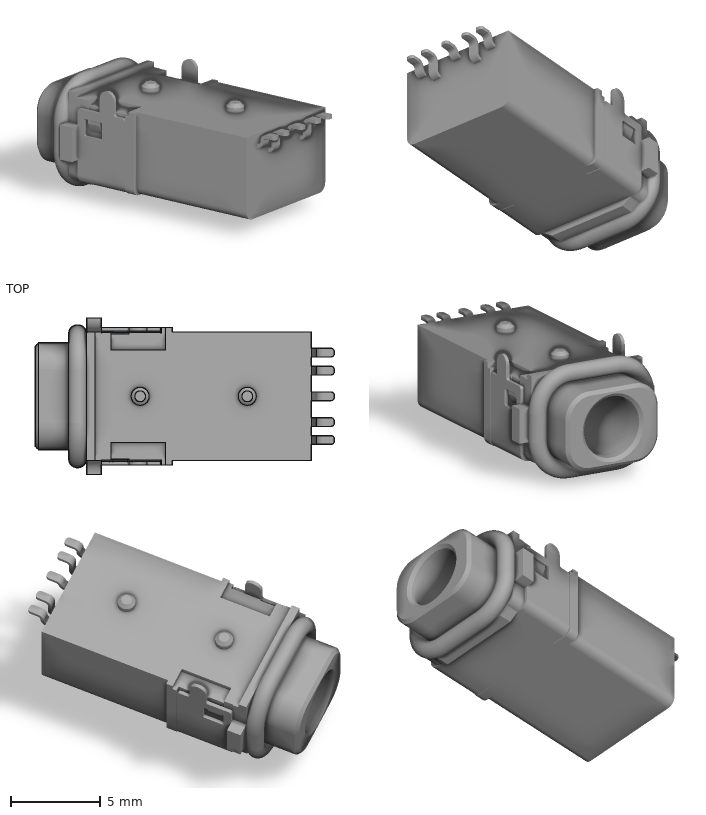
import cadquery as cq
import math


NOSE_WIDTH = 6.01
NOSE_HEIGHT = 4.64
NOSE_CORNER = 1.5
EDGE_CHAMFER = 0.2
BORE_DIAMETER = 3.6
BORE_DEPTH = 14.0

RING_SECTION = 1.0
RING_FRONT = 1.88
RING_CENTRE = RING_FRONT + RING_SECTION / 2

FLANGE_FRONT = RING_FRONT + RING_SECTION
FLANGE_STEP = 3.36
FLANGE_BACK = 3.71
FLANGE_HALF_HEIGHT = 2.82
FLANGE_FOOT_HALF_WIDTH = 2.52
EAR_SPAN = 8.8
EAR_HEIGHT = 2.03

BODY_BACK = 15.5
BODY_HALF_WIDTH = 3.61
BODY_TOP = 2.5
BODY_BOTTOM = -2.42
BODY_CORNER = 0.52
BAND_FRONT = 7.09
BAND_BACK = 7.71
BAND_CORNER = 0.42

CLIP_THICKNESS = 0.2
CLIP_HALF_SPAN = 3.86
CLIP_INNER = CLIP_HALF_SPAN - CLIP_THICKNESS
CLIP_FRONT = FLANGE_BACK
CLIP_BACK = 7.04
CLIP_SHOULDER = 2.02
CLIP_CORNER = 0.15
CLIP_INNER_BEND = BODY_CORNER - CLIP_THICKNESS
TAB_WIDTH = 1.0
TAB_CENTRE = 5.78
TAB_TIP = 3.4
TAB_ROOT_FILLET = 0.15
WINDOW_FRONT = 4.17
WINDOW_BACK = 5.45
WINDOW_BOTTOM = 0.47
WINDOW_TOP = 1.5
WINDOW_CORNER = 0.1

POCKET_FRONT = 4.27
POCKET_BACK = 7.32
POCKET_FLOOR = 2.2
POCKET_INNER = 2.6
CORE_HALF_WIDTH = 3.58
NOTCH_HALF_WIDTH = 3.51
NOTCH_BACK = 5.25
FOOT_SEAT = BODY_BOTTOM + CLIP_THICKNESS

LATCH_FRONT = 4.38
LATCH_BACK = 5.19
LATCH_TOP = 1.46
LATCH_LIP = 1.25
LATCH_BOTTOM = 0.72
LATCH_HALF_SPAN = 3.78

POST_DIAMETER = 1.0
POST_HEIGHT = 0.5
POST_POSITIONS = (5.9, 11.91)

TERMINAL_WIDTH = 0.5
TERMINAL_THICKNESS = 0.2
TERMINAL_TOP = 2.55
TERMINAL_TIP = 16.8
TERMINAL_BEND_START = 15.59
TERMINAL_BEND_RADIUS = 0.3
TERMINAL_TIP_CORNER = 0.2
TERMINAL_EMBED = 0.17
OUTER_TERMINAL_Y = 2.45
INNER_TERMINAL_Y = 1.45
OUTER_EXIT = 1.92
INNER_EXIT = 1.43
MIDDLE_EXIT = 2.13
TERMINALS = (
    (-OUTER_TERMINAL_Y, OUTER_EXIT),
    (-INNER_TERMINAL_Y, INNER_EXIT),
    (0, MIDDLE_EXIT),
    (INNER_TERMINAL_Y, INNER_EXIT),
    (OUTER_TERMINAL_Y, OUTER_EXIT),
)


def block(x_range, y_range, z_range):
    """Box between the given limits."""
    (x0, x1), (y0, y1), (z0, z1) = x_range, y_range, z_range
    return cq.Workplane("XY").box(x1 - x0, y1 - y0, z1 - z0, centered=False).translate((x0, y0, z0))


def both_sides(part):
    """The part together with its mirror image across the Y = 0 plane."""
    return part.union(part.mirror("XZ"))


def rounded_bar(front, back, half_width, bottom, corner):
    """Length of body with its two lower edges rounded."""
    bar = block((front, back), (-half_width, half_width), (bottom, BODY_TOP))
    return bar.edges("|X and <Z").fillet(corner)


def make_nose():
    """Rounded rectangular nose with a chamfered front edge."""
    nose = cq.Workplane("YZ").rect(NOSE_WIDTH, NOSE_HEIGHT).extrude(FLANGE_FRONT)
    nose = nose.edges("|X").fillet(NOSE_CORNER)
    return nose.faces("<X").edges().chamfer(EDGE_CHAMFER)


def make_bore():
    """Blind bore with a countersunk mouth."""
    radius = BORE_DIAMETER / 2
    profile = [
        (0, 0),
        (0, radius + EDGE_CHAMFER),
        (EDGE_CHAMFER, radius),
        (BORE_DEPTH, radius),
        (BORE_DEPTH, 0),
    ]
    return cq.Workplane("XY").polyline(profile).close().revolve(360, (0, 0, 0), (1, 0, 0))


def make_flange():
    """Stepped flange with a tapered foot below and an ear on each side."""
    corner_start = BODY_HALF_WIDTH - BODY_CORNER
    plate = rounded_bar(FLANGE_FRONT, FLANGE_BACK, BODY_HALF_WIDTH, BODY_BOTTOM, BODY_CORNER)
    raised_edge = block(
        (FLANGE_FRONT, FLANGE_STEP),
        (-BODY_HALF_WIDTH, BODY_HALF_WIDTH),
        (0, FLANGE_HALF_HEIGHT),
    )
    foot_profile = [
        (-corner_start, BODY_BOTTOM),
        (corner_start, BODY_BOTTOM),
        (FLANGE_FOOT_HALF_WIDTH, -FLANGE_HALF_HEIGHT),
        (-FLANGE_FOOT_HALF_WIDTH, -FLANGE_HALF_HEIGHT),
    ]
    foot = (
        cq.Workplane("YZ", origin=(FLANGE_FRONT, 0, 0))
        .polyline(foot_profile)
        .close()
        .extrude(FLANGE_BACK - FLANGE_FRONT)
    )
    ears = block(
        (FLANGE_FRONT, FLANGE_BACK),
        (-EAR_SPAN / 2, EAR_SPAN / 2),
        (-EAR_HEIGHT / 2, EAR_HEIGHT / 2),
    )
    return plate.union(raised_edge).union(foot).union(ears)


def make_body():
    """Rear body, wider band and the recessed length that carries the clips."""
    rear = rounded_bar(BAND_BACK, BODY_BACK, BODY_HALF_WIDTH, BODY_BOTTOM, BODY_CORNER)
    band = rounded_bar(BAND_FRONT, BAND_BACK, CLIP_HALF_SPAN, BODY_BOTTOM, BAND_CORNER)
    core = rounded_bar(FLANGE_BACK, BAND_FRONT, CORE_HALF_WIDTH, FOOT_SEAT, CLIP_INNER_BEND)
    keel = block((FLANGE_BACK, BAND_FRONT), (-POCKET_INNER, POCKET_INNER), (BODY_BOTTOM, 0))
    side_notch = block(
        (POCKET_FRONT, NOTCH_BACK), (NOTCH_HALF_WIDTH, CLIP_HALF_SPAN), (WINDOW_TOP, BODY_TOP)
    )
    top_pocket = block(
        (POCKET_FRONT, POCKET_BACK), (POCKET_INNER, CLIP_HALF_SPAN), (POCKET_FLOOR, BODY_TOP)
    )
    body = rear.union(band).union(core).union(keel)
    return body.cut(both_sides(side_notch)).cut(both_sides(top_pocket))


def make_latches():
    """Wedge-shaped latch on each side, tapering inwards towards the bottom."""
    profile = [
        (CORE_HALF_WIDTH, LATCH_BOTTOM),
        (LATCH_HALF_SPAN, LATCH_LIP),
        (LATCH_HALF_SPAN, LATCH_TOP),
        (POCKET_INNER, LATCH_TOP),
        (POCKET_INNER, LATCH_BOTTOM),
    ]
    latch = (
        cq.Workplane("YZ", origin=(LATCH_FRONT, 0, 0))
        .polyline(profile)
        .close()
        .extrude(LATCH_BACK - LATCH_FRONT)
    )
    return both_sides(latch)


def make_post(x):
    """Chamfered locating post standing on top of the body."""
    post = cq.Workplane("XY", origin=(x, 0, BODY_TOP)).circle(POST_DIAMETER / 2).extrude(POST_HEIGHT)
    return post.faces(">Z").edges().chamfer(EDGE_CHAMFER)


def make_terminal(y, exit_height):
    """Flat strip that leaves the body, bends up to the tip height and ends in a rounded tip."""
    half_thickness = TERMINAL_THICKNESS / 2
    low = exit_height - half_thickness
    high = TERMINAL_TOP - half_thickness
    rise = high - low
    run = 2 * TERMINAL_BEND_RADIUS

    angle = min(math.pi / 2, 2 * math.atan(rise / run))
    radius = run / (2 * math.sin(angle))
    half = angle / 2
    side_step = radius * math.sin(angle)
    up_step = radius * (1 - math.cos(angle))
    mid_side = radius * math.sin(half)
    mid_up = radius * (1 - math.cos(half))

    bend_start = TERMINAL_BEND_START
    bend_end = bend_start + run
    upright_x = bend_start + side_step
    has_upright = rise > run
    start = BODY_BACK - TERMINAL_EMBED

    path = cq.Workplane("XZ", origin=(0, y, 0)).moveTo(start, low).lineTo(bend_start, low)
    path = path.threePointArc((bend_start + mid_side, low + mid_up), (upright_x, low + up_step))
    if has_upright:
        path = path.lineTo(upright_x, high - up_step)
    path = path.threePointArc((bend_end - mid_side, high - mid_up), (bend_end, high))
    path = path.lineTo(TERMINAL_TIP, high)

    section = cq.Workplane("YZ", origin=(start, y, low)).rect(TERMINAL_WIDTH, TERMINAL_THICKNESS)
    strip = section.sweep(path)
    return strip.faces(">X").edges("|Z").fillet(TERMINAL_TIP_CORNER)


def make_housing():
    """Housing with its nose, flange, body, latches, posts and moulded-in terminals."""
    housing = make_nose().union(make_flange()).union(make_body()).union(make_latches())
    for x in POST_POSITIONS:
        housing = housing.union(make_post(x))
    for y, exit_height in TERMINALS:
        housing = housing.union(make_terminal(y, exit_height))
    return housing.cut(make_bore()).solids()


def make_seal_ring():
    """Round-section ring that follows the nose outline and rests on it."""
    path_plate = (
        cq.Workplane("YZ", origin=(RING_CENTRE, 0, 0))
        .rect(NOSE_WIDTH + RING_SECTION, NOSE_HEIGHT + RING_SECTION)
        .extrude(RING_SECTION)
        .edges("|X")
        .fillet(NOSE_CORNER + RING_SECTION / 2)
    )
    path = path_plate.faces("<X").wires()
    section = cq.Workplane("XZ", origin=(RING_CENTRE, 0, (NOSE_HEIGHT + RING_SECTION) / 2))
    return section.circle(RING_SECTION / 2).sweep(path)


def make_clip(side):
    """Sheet clip on the +Y (1) or -Y (-1) side: windowed plate, tab above, foot bent under the body."""
    plate = (
        block((CLIP_FRONT, CLIP_BACK), (CLIP_INNER, CLIP_HALF_SPAN), (BODY_BOTTOM, CLIP_SHOULDER))
        .edges("|Y and >Z")
        .fillet(CLIP_CORNER)
    )
    tab = block(
        (TAB_CENTRE - TAB_WIDTH / 2, TAB_CENTRE + TAB_WIDTH / 2),
        (CLIP_INNER, CLIP_HALF_SPAN),
        (0, TAB_TIP - TAB_WIDTH / 2),
    )
    tab_end = (
        cq.Workplane("XZ", origin=(TAB_CENTRE, CLIP_HALF_SPAN, TAB_TIP - TAB_WIDTH / 2))
        .circle(TAB_WIDTH / 2)
        .extrude(CLIP_THICKNESS)
    )
    root_selector = cq.selectors.BoxSelector(
        (TAB_CENTRE - TAB_WIDTH, CLIP_INNER, CLIP_SHOULDER - TAB_ROOT_FILLET),
        (TAB_CENTRE + TAB_WIDTH, CLIP_HALF_SPAN, CLIP_SHOULDER + TAB_ROOT_FILLET),
    )
    tabbed_plate = plate.union(tab)
    tabbed_plate = tabbed_plate.edges("|Y").edges(root_selector).fillet(TAB_ROOT_FILLET)
    tabbed_plate = tabbed_plate.union(tab_end)

    window = (
        block((WINDOW_FRONT, WINDOW_BACK), (CLIP_INNER, CLIP_HALF_SPAN), (WINDOW_BOTTOM, WINDOW_TOP))
        .edges("|Y")
        .fillet(WINDOW_CORNER)
    )
    foot = block((CLIP_FRONT, CLIP_BACK), (POCKET_INNER, CLIP_HALF_SPAN), (BODY_BOTTOM, FOOT_SEAT))
    bend_filler = block(
        (CLIP_FRONT, CLIP_BACK),
        (CLIP_INNER - CLIP_INNER_BEND, CLIP_INNER),
        (FOOT_SEAT, FOOT_SEAT + CLIP_INNER_BEND),
    )
    bend_hollow = (
        cq.Workplane("YZ", origin=(CLIP_FRONT, CLIP_INNER - CLIP_INNER_BEND, FOOT_SEAT + CLIP_INNER_BEND))
        .circle(CLIP_INNER_BEND)
        .extrude(CLIP_BACK - CLIP_FRONT)
    )
    clip = tabbed_plate.cut(window).union(foot).union(bend_filler.cut(bend_hollow))
    clip = clip.edges("|X and >Y and <Z").fillet(BODY_CORNER)
    if side < 0:
        clip = clip.mirror("XZ")
    return clip.solids()


housing = make_housing()
seal_ring = make_seal_ring()
clips = [make_clip(side) for side in (1, -1)]

result = cq.Compound.makeCompound([housing.val(), seal_ring.val(), *[clip.val() for clip in clips]])